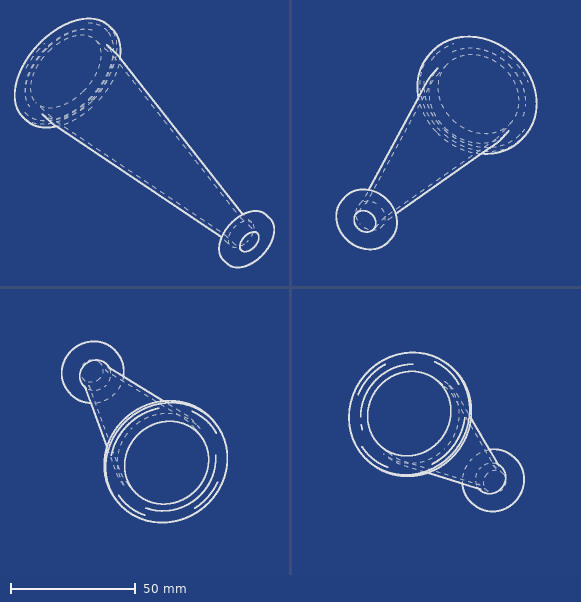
import cadquery as cq
import math

length = 127.0
large_tube_radius = 19.0
small_tube_radius = 6.4
wall = 1.7
cone_start = 12.7
cone_end = length - cone_start

back_angle = 20
back_slope = math.tan(math.radians(back_angle))
large_flange_radius = 50.4 / 2
large_rim_width = 2.9
large_rim_round = 0.5
large_root_round = 1.1
small_flange_radius = 25.0 / 2
small_rim_width = 3.7
small_rim_round = 0.4

groove_center_radius = 21.8
groove_half_width = 1.5
groove_depth = 1.4
groove_lip_round = 0.4


def revolve_about_x(outline):
    return outline.close().revolve(360, (0, 0, 0), (1, 0, 0))


def circle_at(x, radius):
    """Selector box around the circular edge of the given radius in the plane at x."""
    margin = 0.1
    reach = radius + margin
    return cq.selectors.BoxSelector(
        (x - margin, -reach, -reach), (x + margin, reach, reach), boundingbox=True
    )


def make_outside():
    large_slope_end = large_rim_width + (large_flange_radius - large_tube_radius) * back_slope
    small_rim_start = length - small_rim_width
    small_slope_start = small_rim_start - (small_flange_radius - small_tube_radius) * back_slope
    outline = (
        cq.Workplane("XY")
        .moveTo(0, 0)
        .lineTo(0, large_flange_radius)
        .lineTo(large_rim_width, large_flange_radius)
        .lineTo(large_slope_end, large_tube_radius)
        .lineTo(cone_start, large_tube_radius)
        .lineTo(cone_end, small_tube_radius)
        .lineTo(small_slope_start, small_tube_radius)
        .lineTo(small_rim_start, small_flange_radius)
        .lineTo(length, small_flange_radius)
        .lineTo(length, 0)
    )
    body = revolve_about_x(outline)
    body = body.edges(circle_at(large_rim_width, large_flange_radius)).fillet(large_rim_round)
    body = body.edges(circle_at(large_slope_end, large_tube_radius)).fillet(large_root_round)
    for x in (small_rim_start, length):
        body = body.edges(circle_at(x, small_flange_radius)).fillet(small_rim_round)
    return body


def make_bore():
    large_bore_radius = large_tube_radius - wall
    small_bore_radius = small_tube_radius - wall
    outline = (
        cq.Workplane("XY")
        .moveTo(0, 0)
        .lineTo(0, large_bore_radius)
        .lineTo(cone_start, large_bore_radius)
        .lineTo(cone_end, small_bore_radius)
        .lineTo(length, small_bore_radius)
        .lineTo(length, 0)
    )
    return revolve_about_x(outline)


def make_groove():
    outline = (
        cq.Workplane("XY")
        .moveTo(0, groove_center_radius - groove_half_width)
        .threePointArc(
            (groove_depth, groove_center_radius),
            (0, groove_center_radius + groove_half_width),
        )
    )
    return revolve_about_x(outline)


def round_groove_lips(body):
    inner_lip = cq.selectors.RadiusNthSelector(1)
    outer_lip = cq.selectors.RadiusNthSelector(2)
    return body.faces("<X").edges(inner_lip + outer_lip).fillet(groove_lip_round)


result = make_outside().cut(make_bore()).cut(make_groove())
result = round_groove_lips(result)